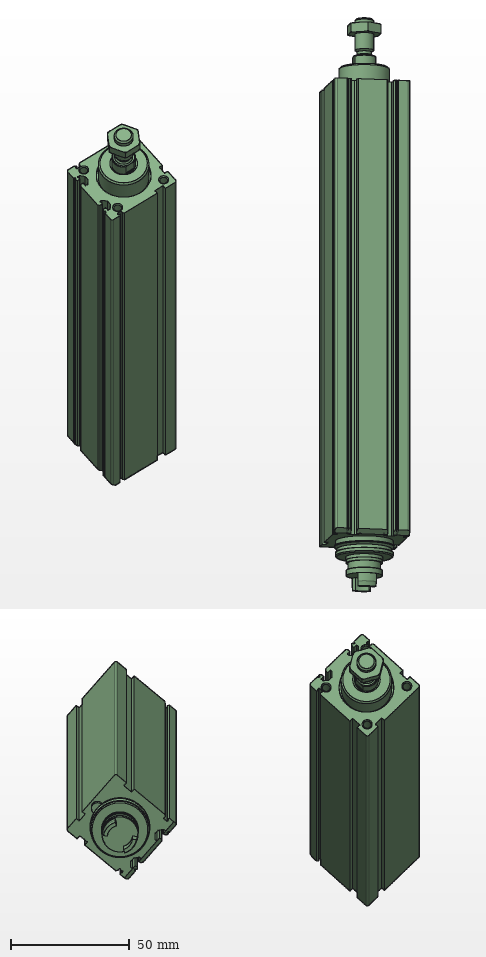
import cadquery as cq
import math


TOTAL_LENGTH = 243.8
REAR_LENGTH = 20.3
HOUSING_LENGTH = 194.4
COLLAR_HEIGHT = 8.3
ROD_STEM_HEIGHT = 4.8

HOUSING_TOP = HOUSING_LENGTH
COLLAR_TOP = HOUSING_TOP + COLLAR_HEIGHT
ROD_SHOULDER = COLLAR_TOP + ROD_STEM_HEIGHT
ROD_TIP = TOTAL_LENGTH - REAR_LENGTH

HALF_WIDTH = 16.0
BACK_Y = 16.0
FRONT_Y = -18.0
CORNER_RADIUS = 0.9
FRONT_END_CHAMFER = 1.9

BACK_GROOVE_X = 7.6
BACK_GROOVE_WIDTH = 3.8
BACK_GROOVE_DEPTH = 1.6

SIDE_GROOVE_Y = 7.9
SIDE_GROOVE_WIDTH = 4.2
SIDE_GROOVE_DEPTH = 1.7

UNDERCUT_TOP_Y = -11.9
UNDERCUT_MOUTH_CHAMFER = 0.6
UNDERCUT_MOUTH_Y = -13.2
UNDERCUT_FLOOR_Y = -13.9
UNDERCUT_DEPTH = 1.7

SENSOR_SLOT_X = 7.9
SLOT_MOUTH_WIDTH = 3.6
SLOT_NECK_WIDTH = 2.4
SLOT_FLOOR_WIDTH = 2.0
SLOT_CAVITY_WIDTH = 5.6
SLOT_NECK_Y = FRONT_Y + 0.7
SLOT_LIP_Y = FRONT_Y + 1.9
SLOT_WIDEST_Y = FRONT_Y + 2.9
SLOT_FLOOR_Y = FRONT_Y + 4.5

MARK_GROOVE_X = 10.6
MARK_GROOVE_WIDTH = 0.7
MARK_GROOVE_DEPTH = 0.7

MOUNT_HOLE_OFFSET = 12.0
MOUNT_HOLE_DIAMETER = 3.24
MOUNT_HOLE_MOUTH_DIAMETER = 4.2
MOUNT_HOLE_DEPTH = 10.0
DRILL_POINT_ANGLE = 118.0

COLLAR_DIAMETER = 21.27
COLLAR_CHAMFER = 0.7
COLLAR_BORE_CHAMFER = 0.8
SEAT_DIAMETER = 23.0
SEAT_DEPTH = 2.0

ROD_DIAMETER = 10.0
ROD_EDGE_CHAMFER = 0.4
NECK_FLARE = 0.7
ROD_FLATS_WIDTH = 9.0
ROD_FLATS_LENGTH = ROD_STEM_HEIGHT
NECK_DIAMETER = 6.2
NECK_LENGTH = 1.9
STUD_DIAMETER = 8.0
STUD_CHAMFER = 0.75

NUT_WIDTH_ACROSS_FLATS = 13.0
NUT_THICKNESS = 4.0
NUT_FACE_DIAMETER = 14.2
NUT_CHAMFER_ANGLE = 30.0
STUD_PROTRUSION = 2.5

FLANGE_RADIUS = 12.2
FLANGE_LIP_RADIUS = 12.6
FLANGE_LIP_START = 2.1
FLANGE_LIP_END = 2.6
FLANGE_THICKNESS = 3.4
FLANGE_WAIST_RADIUS = 11.5
LUG_DIAMETER = 5.0
LUG_Y = 12.5
LUG_HEIGHT = 2.4

RING_RADIUS = 12.2
RING_STEP_RADIUS = 11.8
RING_BODY_START = 4.9
RING_END = 6.8
RING_CHAMFER = 0.5

HUB_RADIUS = 7.6
HUB_GROOVE_RADIUS = 6.9
HUB_SHOULDER_RADIUS = 7.8
HUB_SHOULDER_END = 8.2
HUB_GROOVE_START = 9.4
HUB_GROOVE_END = 12.5
HUB_END = 14.8
CLAW_WIDTH = 8.0
CLAW_OUTER_RADIUS = 7.3
CLAW_INNER_RADIUS = 5.32
CLAW_CHAMFER_WIDTH = 0.4
CLAW_CHAMFER_LENGTH = 2.0


def cylinder(radius, bottom, top):
    return cq.Workplane("XY", origin=(0, 0, bottom)).circle(radius).extrude(top - bottom)


def revolved(points):
    """Turn a closed outline of (radius, height) points about the Z axis."""
    return cq.Workplane("XZ").polyline(points).close().revolve(360, (0, 0), (0, 1))


def long_cutter(points):
    """Prism over the whole housing length from a closed XY outline."""
    return cq.Workplane("XY").polyline(points).close().extrude(HOUSING_LENGTH)


def both_sides(cutter):
    return cutter.union(cutter.mirror("YZ"))


def rectangle(left, right, low, high):
    return [(left, low), (right, low), (right, high), (left, high)]


def sensor_slot():
    levels = [
        (SLOT_MOUTH_WIDTH, FRONT_Y),
        (SLOT_NECK_WIDTH, SLOT_NECK_Y),
        (SLOT_NECK_WIDTH, SLOT_LIP_Y),
        (SLOT_CAVITY_WIDTH, SLOT_LIP_Y),
        (SLOT_CAVITY_WIDTH, SLOT_WIDEST_Y),
        (SLOT_FLOOR_WIDTH, SLOT_FLOOR_Y),
    ]
    right_side = [(SENSOR_SLOT_X + width / 2, y) for width, y in levels]
    left_side = [(SENSOR_SLOT_X - width / 2, y) for width, y in reversed(levels)]
    return long_cutter(right_side + left_side)


def undercut_slot():
    floor_x = HALF_WIDTH - UNDERCUT_DEPTH
    chamfer_x = HALF_WIDTH - UNDERCUT_MOUTH_CHAMFER
    middle_x = HALF_WIDTH - UNDERCUT_DEPTH / 2
    return long_cutter([
        (HALF_WIDTH, UNDERCUT_TOP_Y + UNDERCUT_MOUTH_CHAMFER),
        (chamfer_x, UNDERCUT_TOP_Y),
        (floor_x, UNDERCUT_TOP_Y),
        (floor_x, UNDERCUT_FLOOR_Y),
        (middle_x, UNDERCUT_FLOOR_Y),
        (middle_x, UNDERCUT_MOUTH_Y),
        (chamfer_x, UNDERCUT_MOUTH_Y),
        (HALF_WIDTH, UNDERCUT_MOUTH_Y - UNDERCUT_MOUTH_CHAMFER),
    ])


def mount_hole():
    radius = MOUNT_HOLE_DIAMETER / 2
    mouth_radius = MOUNT_HOLE_MOUTH_DIAMETER / 2
    mouth_depth = mouth_radius - radius
    tip_depth = radius / math.tan(math.radians(DRILL_POINT_ANGLE / 2))
    bottom = HOUSING_TOP - MOUNT_HOLE_DEPTH
    return revolved([
        (0, HOUSING_TOP),
        (mouth_radius, HOUSING_TOP),
        (radius, HOUSING_TOP - mouth_depth),
        (radius, bottom),
        (0, bottom - tip_depth),
    ])


def make_housing():
    outline = rectangle(-HALF_WIDTH, HALF_WIDTH, FRONT_Y, BACK_Y)
    body = long_cutter(outline)
    body = body.edges("|Z").fillet(CORNER_RADIUS)

    end_chamfer = (
        cq.Workplane("YZ")
        .polyline([(FRONT_Y, 0), (FRONT_Y + FRONT_END_CHAMFER, 0), (FRONT_Y, FRONT_END_CHAMFER)])
        .close()
        .extrude(HALF_WIDTH, both=True)
    )
    body = body.cut(end_chamfer)

    body = body.cut(long_cutter(rectangle(
        BACK_GROOVE_X - BACK_GROOVE_WIDTH / 2, BACK_GROOVE_X + BACK_GROOVE_WIDTH / 2,
        BACK_Y - BACK_GROOVE_DEPTH, BACK_Y,
    )))

    side_groove = long_cutter(rectangle(
        HALF_WIDTH - SIDE_GROOVE_DEPTH, HALF_WIDTH,
        SIDE_GROOVE_Y - SIDE_GROOVE_WIDTH / 2, SIDE_GROOVE_Y + SIDE_GROOVE_WIDTH / 2,
    ))
    mark_groove = long_cutter(rectangle(
        MARK_GROOVE_X - MARK_GROOVE_WIDTH / 2, MARK_GROOVE_X + MARK_GROOVE_WIDTH / 2,
        FRONT_Y, FRONT_Y + MARK_GROOVE_DEPTH,
    ))
    for cutter in (side_groove, undercut_slot(), sensor_slot(), mark_groove):
        body = body.cut(both_sides(cutter))

    body = body.cut(cylinder(SEAT_DIAMETER / 2, HOUSING_TOP - SEAT_DEPTH, HOUSING_TOP))
    for x in (-MOUNT_HOLE_OFFSET, MOUNT_HOLE_OFFSET):
        for y in (-MOUNT_HOLE_OFFSET, MOUNT_HOLE_OFFSET):
            body = body.cut(mount_hole().translate((x, y, 0)))
    return body


def make_collar():
    seat = HOUSING_TOP - SEAT_DEPTH
    outer = COLLAR_DIAMETER / 2
    inner = ROD_DIAMETER / 2
    return revolved([
        (inner, seat),
        (outer, seat),
        (outer, COLLAR_TOP - COLLAR_CHAMFER),
        (outer - COLLAR_CHAMFER, COLLAR_TOP),
        (inner + COLLAR_BORE_CHAMFER, COLLAR_TOP),
        (inner, COLLAR_TOP - COLLAR_BORE_CHAMFER),
    ])


def make_rod():
    radius = ROD_DIAMETER / 2
    stud_radius = STUD_DIAMETER / 2
    neck_radius = NECK_DIAMETER / 2
    neck_top = ROD_SHOULDER + NECK_LENGTH
    body = revolved([
        (0, HOUSING_TOP - SEAT_DEPTH),
        (radius, HOUSING_TOP - SEAT_DEPTH),
        (radius, ROD_SHOULDER - ROD_EDGE_CHAMFER),
        (radius - ROD_EDGE_CHAMFER, ROD_SHOULDER),
        (neck_radius + NECK_FLARE, ROD_SHOULDER),
        (neck_radius, ROD_SHOULDER + NECK_FLARE),
        (neck_radius, neck_top),
        (stud_radius, neck_top + STUD_CHAMFER),
        (stud_radius, ROD_TIP - STUD_CHAMFER),
        (stud_radius - STUD_CHAMFER, ROD_TIP),
        (0, ROD_TIP),
    ])
    flats_middle = ROD_SHOULDER - ROD_FLATS_LENGTH / 2
    for side in (-1, 1):
        cutter = cq.Workplane("XY").box(ROD_DIAMETER, ROD_DIAMETER, ROD_FLATS_LENGTH)
        offset = side * (ROD_FLATS_WIDTH + ROD_DIAMETER) / 2
        body = body.cut(cutter.translate((offset, 0, flats_middle)))
    return body


def make_nut():
    corner_radius = NUT_WIDTH_ACROSS_FLATS / 2 / math.cos(math.pi / 6)
    face_radius = NUT_FACE_DIAMETER / 2
    top = ROD_TIP - STUD_PROTRUSION
    bottom = top - NUT_THICKNESS
    drop = (corner_radius - face_radius) * math.tan(math.radians(NUT_CHAMFER_ANGLE))
    hexagon = (
        cq.Workplane("XY", origin=(0, 0, bottom))
        .polygon(6, 2 * corner_radius)
        .extrude(NUT_THICKNESS)
        .rotate((0, 0, 0), (0, 0, 1), 90)
    )
    rounded_ends = revolved([
        (0, bottom),
        (face_radius, bottom),
        (corner_radius, bottom + drop),
        (corner_radius, top - drop),
        (face_radius, top),
        (0, top),
    ])
    return hexagon.intersect(rounded_ends).cut(cylinder(STUD_DIAMETER / 2, bottom, top))


def make_flange():
    body = revolved([
        (0, 0),
        (FLANGE_RADIUS, 0),
        (FLANGE_RADIUS, -FLANGE_LIP_START),
        (FLANGE_LIP_RADIUS, -FLANGE_LIP_START),
        (FLANGE_LIP_RADIUS, -FLANGE_LIP_END),
        (FLANGE_WAIST_RADIUS, -FLANGE_THICKNESS),
        (0, -FLANGE_THICKNESS),
    ])
    lug = cylinder(LUG_DIAMETER / 2, -LUG_HEIGHT, 0).translate((0, LUG_Y, 0))
    return body.union(lug)


def make_ring():
    return revolved([
        (0, -FLANGE_THICKNESS),
        (FLANGE_WAIST_RADIUS, -FLANGE_THICKNESS),
        (RING_STEP_RADIUS, -RING_BODY_START),
        (RING_RADIUS, -RING_BODY_START),
        (RING_RADIUS, RING_CHAMFER - RING_END),
        (RING_RADIUS - RING_CHAMFER, -RING_END),
        (0, -RING_END),
    ])


def make_hub():
    body = revolved([
        (0, -RING_END),
        (HUB_SHOULDER_RADIUS, -RING_END),
        (HUB_SHOULDER_RADIUS, -HUB_SHOULDER_END),
        (HUB_RADIUS, -HUB_SHOULDER_END),
        (HUB_RADIUS, -HUB_GROOVE_START),
        (HUB_GROOVE_RADIUS, -HUB_GROOVE_START),
        (HUB_GROOVE_RADIUS, -HUB_GROOVE_END),
        (HUB_RADIUS, -HUB_GROOVE_END),
        (HUB_RADIUS, -HUB_END),
        (0, -HUB_END),
    ])
    claw_ring = revolved([
        (CLAW_INNER_RADIUS, -HUB_END),
        (CLAW_OUTER_RADIUS, -HUB_END),
        (CLAW_OUTER_RADIUS, CLAW_CHAMFER_LENGTH - REAR_LENGTH),
        (CLAW_OUTER_RADIUS - CLAW_CHAMFER_WIDTH, -REAR_LENGTH),
        (CLAW_INNER_RADIUS, -REAR_LENGTH),
    ])
    slope = math.sqrt(CLAW_OUTER_RADIUS**2 - (CLAW_WIDTH / 2) ** 2) / (CLAW_WIDTH / 2)
    reach = 2 * HUB_RADIUS
    for side in (-1, 1):
        sector = (
            cq.Workplane("XY", origin=(0, 0, -REAR_LENGTH))
            .polyline([(0, 0), (reach, side * slope * reach), (-reach, side * slope * reach)])
            .close()
            .extrude(REAR_LENGTH - HUB_END)
        )
        body = body.union(claw_ring.intersect(sector))
    return body


housing = make_housing()
collar = make_collar()
rod = make_rod()
nut = make_nut()
flange = make_flange()
ring = make_ring()
hub = make_hub()

result = cq.Compound.makeCompound([
    housing.val(),
    collar.val(),
    rod.val(),
    nut.val(),
    flange.val(),
    ring.val(),
    hub.val(),
])